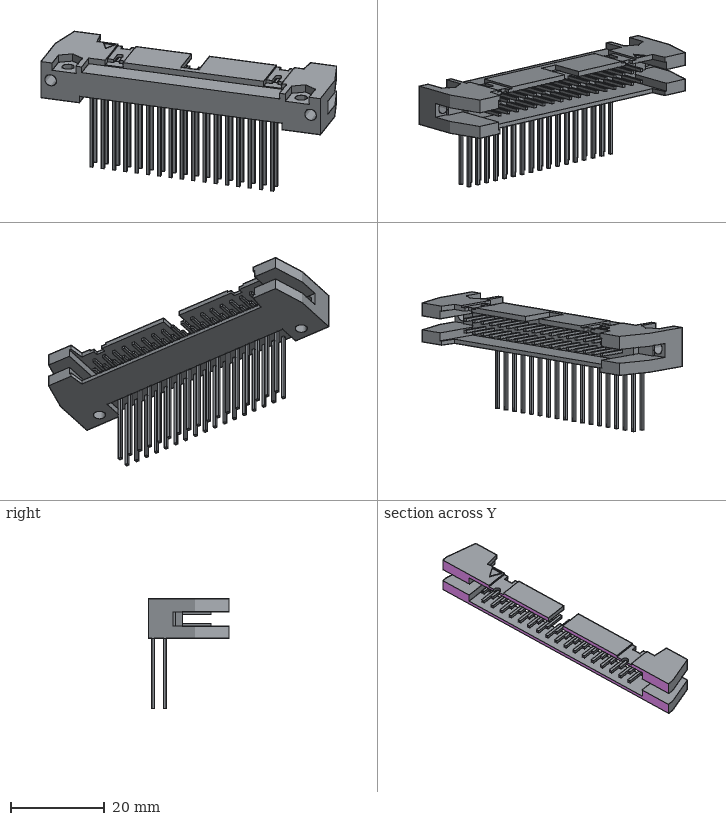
import cadquery as cq
import math


length = 62.8
body_height = 8.5
shroud_y = 13.75
arm_tip_y = 17.3
arm_taper_y = 10.0
arm_tip_outer_x = 29.45
arm_tip_inner_x = 23.6
arm_root_inner_x = 23.25

pin_columns = 17
pin_span = 40.65
pin_pitch = pin_span / (pin_columns - 1)
pin_size = 0.6
leg_length = 15.0
front_leg_y = 1.0
pin_tip_y = 13.45
pin_mid_z = 4.15
row_offsets = (-pin_pitch / 2, pin_pitch / 2)

cavity_half_length = 24.05
cavity_height = 6.45
cavity_floor_y = 7.35
ceiling_z = pin_mid_z + cavity_height / 2
latch_slot_height = 3.0
latch_outer_depth_y = 5.3
latch_inner_depth_y = 5.85
latch_step_x = 28.25

recess_depth_y = 4.9
top_recess_length = 44.45
top_recess_depth = 1.3
bottom_recess_length = 45.5
bottom_recess_depth = 1.5

hole_diameter = 2.6
mount_x = 26.2
mount_y = 2.8
nut_width = 5.35
nut_depth = 1.7
pivot_hole_x = 29.2
pivot_hole_z = 4.4

key_width = 4.0
key_end_y = 6.4
groove_centers_x = (-16.5, 19.1)
groove_width = 4.0
groove_depth = 0.4
groove_step_y = 6.6
slit_width = 1.4
slit_end_y = 9.6
notch_width = 2.0
notch_depth_y = 1.1

mark_x = -20.35
mark_width = 2.65
mark_base_y = 13.45
mark_tip_y = 10.9
mark_depth = 0.2


def block(x0, x1, y0, y1, z0, z1):
    """Axis-aligned box between opposite corners."""
    return cq.Workplane("XY").box(x1 - x0, y1 - y0, z1 - z0, centered=False).translate((x0, y0, z0))


def centered_block(x, width, y0, y1, z0, z1):
    """Box centered on x with the given width."""
    return block(x - width / 2, x + width / 2, y0, y1, z0, z1)


def housing_blank():
    right_side = [
        (length / 2, 0),
        (length / 2, arm_taper_y),
        (arm_tip_outer_x, arm_tip_y),
        (arm_tip_inner_x, arm_tip_y),
        (arm_root_inner_x, shroud_y),
    ]
    left_side = [(-x, y) for x, y in reversed(right_side)]
    return cq.Workplane("XY").polyline(right_side + left_side).close().extrude(body_height)


def mating_cavity():
    return centered_block(
        0, 2 * cavity_half_length, cavity_floor_y, arm_tip_y,
        pin_mid_z - cavity_height / 2, ceiling_z,
    )


def latch_slots():
    """Stepped slot that splits each end into two arms and opens into the cavity."""
    low_z = pin_mid_z - latch_slot_height / 2
    high_z = pin_mid_z + latch_slot_height / 2
    inner = block(cavity_half_length, latch_step_x, latch_inner_depth_y, arm_tip_y, low_z, high_z)
    outer = block(latch_step_x, length / 2, latch_outer_depth_y, arm_tip_y, low_z, high_z)
    right_slot = inner.union(outer)
    return right_slot.union(right_slot.mirror("YZ"))


def front_recesses():
    top = centered_block(
        0, top_recess_length, 0, recess_depth_y, body_height - top_recess_depth, body_height
    )
    bottom = centered_block(0, bottom_recess_length, 0, recess_depth_y, 0, bottom_recess_depth)
    return top.union(bottom)


def nut_pocket(x):
    """Hexagonal pocket with a point toward +Y, open to the front face."""
    floor = cq.Workplane("XY", origin=(x, mount_y, body_height - nut_depth))
    corner_diameter = nut_width / math.cos(math.pi / 6)
    hexagon = floor.transformed(rotate=(0, 0, 90)).polygon(6, corner_diameter).extrude(nut_depth)
    opening = centered_block(x, nut_width, 0, mount_y, body_height - nut_depth, body_height)
    return hexagon.union(opening)


def mounting_features():
    radius = hole_diameter / 2
    cutter = cq.Workplane("XY")
    for side in (-1, 1):
        x = side * mount_x
        mount_hole = cq.Workplane("XY").center(x, mount_y).circle(radius).extrude(body_height)
        pivot_plane = cq.Workplane("XZ", origin=(side * pivot_hole_x, 0, pivot_hole_z))
        pivot_hole = pivot_plane.circle(radius).extrude(-latch_outer_depth_y)
        cutter = cutter.union(nut_pocket(x)).union(mount_hole).union(pivot_hole)
    return cutter


def key_slot():
    return centered_block(0, key_width, key_end_y, shroud_y, ceiling_z, body_height)


def retention_groove(x):
    """Shallow groove with a front step, a round-ended slit and a notch at the mating edge."""
    shallow = centered_block(
        x, groove_width, recess_depth_y, shroud_y, body_height - groove_depth, body_height
    )
    step = centered_block(x, groove_width, recess_depth_y, groove_step_y, ceiling_z, body_height)
    slit_arc_y = slit_end_y - slit_width / 2
    slit = centered_block(x, slit_width, groove_step_y, slit_arc_y, ceiling_z, body_height)
    slit_plane = cq.Workplane("XY", origin=(x, slit_arc_y, ceiling_z))
    slit_end = slit_plane.circle(slit_width / 2).extrude(body_height - ceiling_z)
    notch = centered_block(
        x, notch_width, shroud_y - notch_depth_y, shroud_y, ceiling_z, body_height
    )
    return shallow.union(step).union(slit).union(slit_end).union(notch)


def pin_one_mark():
    corners = [
        (mark_x - mark_width / 2, mark_base_y),
        (mark_x + mark_width / 2, mark_base_y),
        (mark_x, mark_tip_y),
    ]
    plane = cq.Workplane("XY", origin=(0, 0, body_height - mark_depth))
    return plane.polyline(corners).close().extrude(mark_depth)


def pins():
    """Solder legs below the housing and mating pins inside the cavity, in two rows."""
    column_points = [(i * pin_pitch - pin_span / 2, 0) for i in range(pin_columns)]
    columns = cq.Workplane("XY").pushPoints(column_points)
    leg_row = columns.rect(pin_size, pin_size).extrude(leg_length + bottom_recess_depth)
    mating_row = columns.box(
        pin_size, pin_tip_y - cavity_floor_y, pin_size, centered=(True, False, True)
    )
    rows = cq.Workplane("XY")
    for offset in row_offsets:
        leg_y = front_leg_y + pin_pitch / 2 + offset
        rows = rows.add(leg_row.translate((0, leg_y, -leg_length)))
        rows = rows.add(mating_row.translate((0, cavity_floor_y, pin_mid_z + offset)))
    return rows.combine()


housing = housing_blank()
housing = housing.cut(mating_cavity()).cut(latch_slots()).cut(front_recesses())
housing = housing.cut(mounting_features()).cut(key_slot()).cut(pin_one_mark())
for groove_x in groove_centers_x:
    housing = housing.cut(retention_groove(groove_x))

result = housing.union(pins())